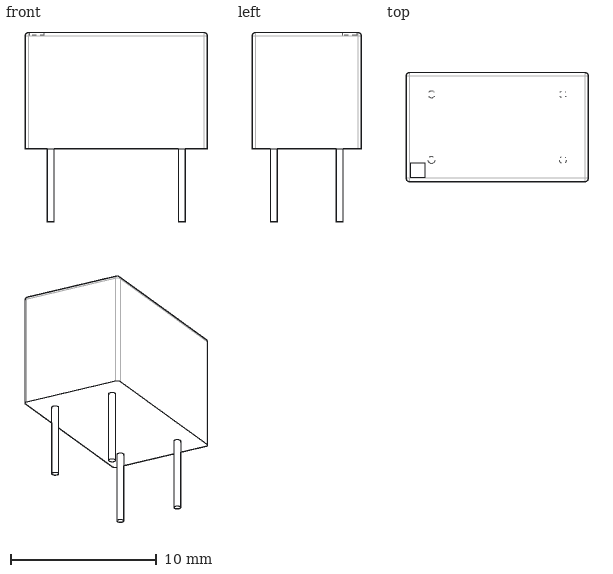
import cadquery as cq

overall_height = 13
body_length = 12.5
body_width = 7.5
body_height = 8.0
edge_radius = 0.25

pin_length = overall_height - body_height
pin_diameter = 0.48
pin_spacing_x = 9.01
pin_spacing_y = 4.5

mark_size = 1.0
mark_inset = 0.3
mark_depth = 0.2


def make_body():
    """Rectangular case, rounded on the upright and top edges, with its flat base at Z = 0."""
    block = cq.Workplane("XY").box(body_length, body_width, body_height, centered=(True, True, False))
    return block.edges("|Z or >Z").fillet(edge_radius)


def make_pins():
    """Four straight round pins hanging from the base in a rectangular pattern."""
    return (
        cq.Workplane("XY")
        .rect(pin_spacing_x, pin_spacing_y, forConstruction=True)
        .vertices()
        .circle(pin_diameter / 2)
        .extrude(-pin_length)
    )


def make_mark_pocket():
    """Cutter for the shallow square pin-one mark in the top, at the -X, -Y corner."""
    return cq.Workplane("XY").box(mark_size, mark_size, mark_depth, centered=False).translate((
        mark_inset - body_length / 2,
        mark_inset - body_width / 2,
        body_height - mark_depth,
    ))


result = make_body().union(make_pins()).cut(make_mark_pocket())